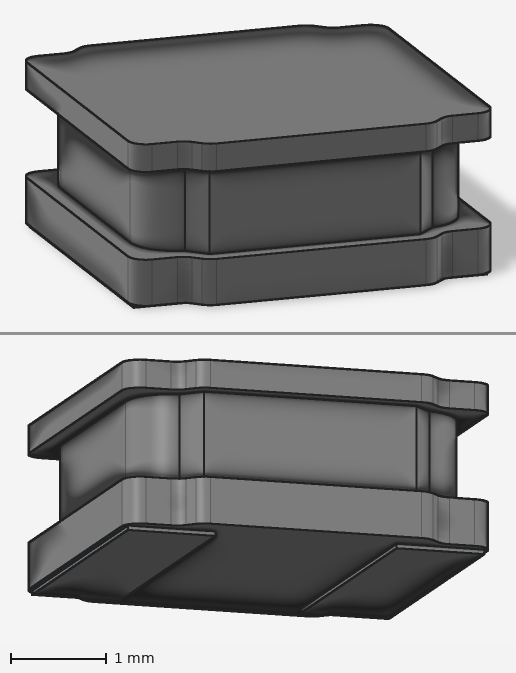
import cadquery as cq

SIDE = 4.0
HEIGHT = 1.8
HALF_SIDE = SIDE / 2

PAD_THICKNESS = 0.05
BASE_THICKNESS = 0.5
TOP_THICKNESS = 0.3
CORE_HEIGHT = HEIGHT - PAD_THICKNESS - BASE_THICKNESS - TOP_THICKNESS

STEP_DEPTH = 0.2
STEP_START = 0.56
FLANGE_RADIUS = 0.2

CORE_INSET = 0.2
CORE_END_INSET = 0.4
CORE_RADIUS = 0.5
WING_START = 0.835

PAD_LENGTH = 3.31
PAD_WIDTH = 0.96
PAD_EDGE_GAP = 0.05


def flange(bottom, thickness):
    """Square plate with stepped corners; every vertical edge is rounded."""
    step_x = HALF_SIDE - STEP_DEPTH
    slope_inner_y = HALF_SIDE - STEP_START
    slope_outer_y = slope_inner_y - STEP_DEPTH
    right_side = [
        (step_x, -HALF_SIDE),
        (step_x, -slope_inner_y),
        (HALF_SIDE, -slope_outer_y),
        (HALF_SIDE, slope_outer_y),
        (step_x, slope_inner_y),
        (step_x, HALF_SIDE),
    ]
    left_side = [(-x, -y) for x, y in right_side]
    return (
        cq.Workplane("XY", origin=(0, 0, bottom))
        .polyline(right_side + left_side)
        .close()
        .extrude(thickness)
        .edges("|Z")
        .fillet(FLANGE_RADIUS)
    )


def core(bottom):
    """Narrower block between the flanges, with sloped wings on its X sides."""
    plane = cq.Workplane("XY", origin=(0, 0, bottom))
    block = (
        plane.rect(SIDE - 2 * CORE_END_INSET, SIDE - 2 * CORE_INSET)
        .extrude(CORE_HEIGHT)
        .edges("|Z")
        .fillet(CORE_RADIUS)
    )
    slope_size = CORE_RADIUS
    wing_width = SIDE - 2 * CORE_INSET
    wing_length = SIDE - 2 * WING_START + 2 * slope_size
    wings = (
        plane.rect(wing_width, wing_length)
        .extrude(CORE_HEIGHT)
        .edges("|Z")
        .chamfer(slope_size)
    )
    return block.union(wings)


def pads():
    """Two thin pads under the base, near its Y edges."""
    pad_y = HALF_SIDE - PAD_EDGE_GAP - PAD_WIDTH / 2
    return (
        cq.Workplane("XY")
        .pushPoints([(0, -pad_y), (0, pad_y)])
        .rect(PAD_LENGTH, PAD_WIDTH)
        .extrude(PAD_THICKNESS)
    )


core_bottom = PAD_THICKNESS + BASE_THICKNESS
result = (
    flange(PAD_THICKNESS, BASE_THICKNESS)
    .union(core(core_bottom))
    .union(flange(core_bottom + CORE_HEIGHT, TOP_THICKNESS))
    .union(pads())
)